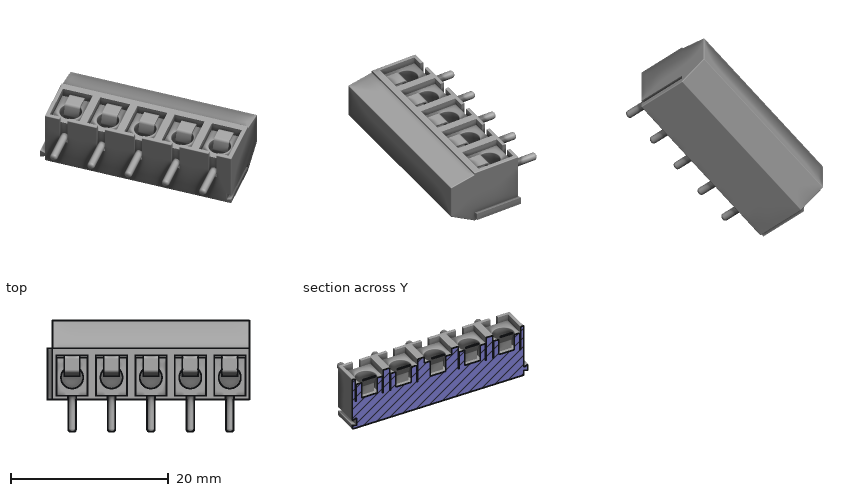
import cadquery as cq
import math


poles = 5
pitch = 5.0
rail_depth = 0.61
total_length = 25.6
body_length = total_length - rail_depth
body_depth = 10.0
body_height = 7.6
shoulder_y = 6.5
back_low_z = 2.0
back_high_z = 6.6
shoulder_low_z = 7.32
edge_radius = 0.1

rail_center_z = 1.0
rail_outer_height = 1.0
rail_neck_height = 0.6

front_wall = 0.49
pocket_width = 4.0
pocket_length = 5.1
pocket_depth = 3.45

clamp_width = 3.9
clamp_length = 4.8
clamp_top_z = body_height - 0.9
hole_radius = 1.4
hole_y = 2.8
hole_depth = 2.3
hole_rim = 0.1

tongue_width = 2.0
tongue_thickness = 0.2
tongue_top_z = clamp_top_z + 0.4
tongue_front_y = 3.48
tongue_bend_radius = 0.4
tongue_slope_run = 0.55
tongue_slope_drop = 1.43

pin_radius = 0.5
pin_z = 4.5
pin_reach = 4.1
pin_tip_radius = 0.35
pin_root = 0.25
slot_width = 1.1
slot_bottom_z = pin_z - slot_width / 2

pocket_bottom_z = body_height - pocket_depth
pocket_back_y = front_wall + pocket_length
hole_bottom_z = clamp_top_z - hole_depth
first_pole_x = (body_length - (poles - 1) * pitch) / 2


def box_between(x_center, width, y_start, y_end, z_start, z_end):
    """Box centred on x_center that fills the given Y and Z ranges."""
    return (
        cq.Workplane("XY", origin=(x_center, (y_start + y_end) / 2, z_start))
        .rect(width, y_end - y_start)
        .extrude(z_end - z_start)
    )


def make_housing():
    """Housing profile swept along X, rounded everywhere except at the shoulder step."""
    profile = [
        (0, 0),
        (shoulder_y, 0),
        (body_depth, back_low_z),
        (body_depth, back_high_z),
        (shoulder_y, shoulder_low_z),
        (shoulder_y, body_height),
        (0, body_height),
    ]
    housing = cq.Workplane("YZ").polyline(profile).close().extrude(body_length)
    step_edges = cq.selectors.BoxSelector(
        (-edge_radius, shoulder_y - edge_radius, shoulder_low_z - edge_radius),
        (body_length + edge_radius, shoulder_y + edge_radius, body_height + edge_radius),
    )
    rounded_edges = cq.selectors.SubtractSelector(cq.selectors.Selector(), step_edges)
    return housing.edges(rounded_edges).fillet(edge_radius)


def make_dovetail(neck_x):
    """Dovetail bar widening toward -X, with a straight neck reaching into the housing."""
    outer_half = rail_outer_height / 2
    neck_half = rail_neck_height / 2
    outer_x = neck_x - rail_depth
    inner_x = neck_x + 2 * edge_radius
    section = [
        (outer_x, rail_center_z - outer_half),
        (neck_x, rail_center_z - neck_half),
        (inner_x, rail_center_z - neck_half),
        (inner_x, rail_center_z + neck_half),
        (neck_x, rail_center_z + neck_half),
        (outer_x, rail_center_z + outer_half),
    ]
    return cq.Workplane("XZ").polyline(section).close().extrude(-shoulder_y)


def make_opening(x):
    """Pocket from the top plus the slot through the front wall."""
    pocket = box_between(x, pocket_width, front_wall, pocket_back_y, pocket_bottom_z, body_height)
    slot = box_between(x, slot_width, 0, front_wall, slot_bottom_z, body_height)
    return pocket.union(slot)


def make_clamp(x):
    """Clamp block that closes the front of the pocket, with its blind screw hole."""
    clamp_back_y = front_wall + clamp_length
    block = box_between(x, clamp_width, front_wall, clamp_back_y, pocket_bottom_z, clamp_top_z)
    hole = (
        cq.Workplane("XY", origin=(x, hole_y, hole_bottom_z))
        .circle(hole_radius)
        .extrude(hole_depth)
    )
    return block.cut(hole).faces(">Z").edges("%CIRCLE").fillet(hole_rim)


def make_tongue(x):
    """Bent sheet: back leg on the pocket wall, flat top, slope and a lip down to the hole floor."""
    lip_y = tongue_front_y - tongue_slope_run
    slope_end_z = tongue_top_z - tongue_slope_drop
    slope_angle = math.atan2(tongue_slope_drop, tongue_slope_run)
    top_bend_shift = tongue_thickness * math.tan(slope_angle / 2)
    lip_bend_shift = tongue_thickness * math.tan((math.pi / 2 - slope_angle) / 2)
    outer_face = [
        (pocket_back_y, pocket_bottom_z),
        (pocket_back_y, tongue_top_z),
        (tongue_front_y, tongue_top_z),
        (lip_y, slope_end_z),
        (lip_y, hole_bottom_z),
    ]
    inner_face = [
        (lip_y + tongue_thickness, hole_bottom_z),
        (lip_y + tongue_thickness, slope_end_z - lip_bend_shift),
        (tongue_front_y + top_bend_shift, tongue_top_z - tongue_thickness),
        (pocket_back_y - tongue_thickness, tongue_top_z - tongue_thickness),
        (pocket_back_y - tongue_thickness, pocket_bottom_z),
    ]
    tongue = (
        cq.Workplane("YZ", origin=(x - tongue_width / 2, 0, 0))
        .polyline(outer_face + inner_face)
        .close()
        .extrude(tongue_width)
    )
    for bend_y, bend_z in outer_face[1:4]:
        bend_edge = cq.selectors.NearestToPointSelector((x, bend_y, bend_z))
        tongue = tongue.edges(bend_edge).fillet(tongue_bend_radius)
    for bend_y, bend_z in inner_face[1:4]:
        bend_edge = cq.selectors.NearestToPointSelector((x, bend_y, bend_z))
        tongue = tongue.edges(bend_edge).fillet(tongue_bend_radius - tongue_thickness)
    return tongue


def make_pin(x):
    """Round pin with a rounded tip, rooted in the front of the clamp."""
    root_y = front_wall + pin_root
    return (
        cq.Workplane("XZ", origin=(x, root_y, pin_z))
        .circle(pin_radius)
        .extrude(root_y + pin_reach)
        .faces("<Y")
        .edges()
        .fillet(pin_tip_radius)
    )


result = make_housing().union(make_dovetail(0)).cut(make_dovetail(body_length))

for pole in range(poles):
    pole_x = first_pole_x + pole * pitch
    result = result.cut(make_opening(pole_x))
    result = result.union(make_clamp(pole_x))
    result = result.union(make_tongue(pole_x))
    result = result.union(make_pin(pole_x))